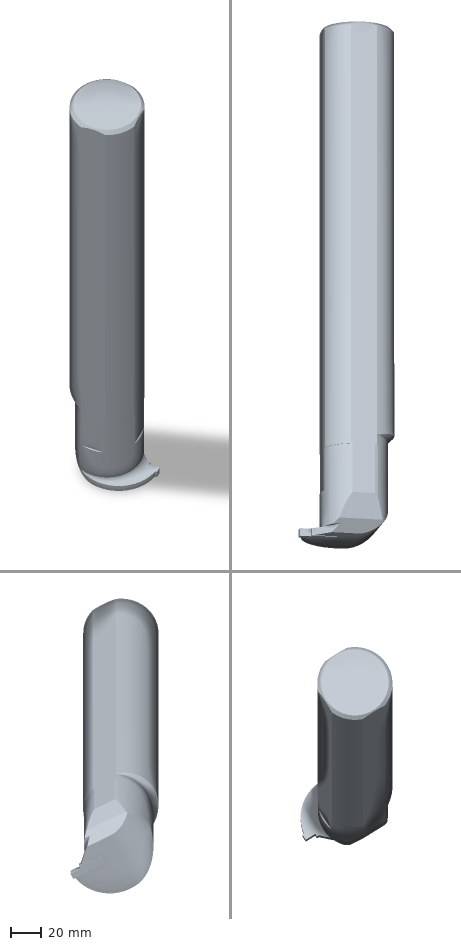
import cadquery as cq

OVERALL_WIDTH = 63.5
TOTAL_LENGTH = 350.0
HEAD_BOTTOM = 0.5
DISC_TOP = 5.2
FLATS_BOTTOM = 30.0
NECK_TOP = 59.0
RELIEF_TOP = 65.8

SHANK_RADIUS = 50.0 / 2
SHANK_CHAMFER = 2.5
FLAT_DISTANCE = 23.5
NECK_RADIUS = 49.5 / 2

HEAD_RADIUS = 29.0
HEAD_OFFSET = 8.5
HEEL_RADIUS = 22.8

BACK_BOTTOM_Y = 11.5
BACK_KNEE_Y = 19.0
BACK_KNEE_HEIGHT = 8.8
BACK_TOP_HEIGHT = 25.5

CORNER_SUM = 30.8

INSERT_LEFT = 13.5
INSERT_STEP_X = 30.8
INSERT_TIP_X = OVERALL_WIDTH - SHANK_RADIUS
INSERT_FRONT_Y = -5.0
INSERT_BACK_Y = 1.5
INSERT_TIP_BACK_Y = -0.7

MARGIN = 70.0


def cylinder(radius, bottom, top, x=0.0):
    return cq.Workplane("XY", origin=(x, 0, bottom)).circle(radius).extrude(top - bottom)


def box(x_range, y_range, z_range):
    lows, highs = zip(x_range, y_range, z_range)
    size = [high - low for low, high in zip(lows, highs)]
    return cq.Workplane("XY").box(*size, centered=False).translate(lows)


def make_shank_and_neck():
    """Chamfered bar and thinner neck; of the three flats only the +Y one runs to the bottom."""
    shank = cylinder(SHANK_RADIUS, NECK_TOP, TOTAL_LENGTH).faces(">Z").chamfer(SHANK_CHAMFER)
    bar = shank.union(cylinder(NECK_RADIUS, HEAD_BOTTOM, NECK_TOP))
    between_flats = box(
        (-MARGIN, FLAT_DISTANCE), (-FLAT_DISTANCE, FLAT_DISTANCE), (FLATS_BOTTOM, TOTAL_LENGTH)
    )
    below_flats = box((-MARGIN, MARGIN), (-MARGIN, FLAT_DISTANCE), (HEAD_BOTTOM, FLATS_BOTTOM))
    return bar.intersect(between_flats.union(below_flats))


def make_head_envelope():
    """Eccentric cylinder that opens upward at 45 degrees to clear the shank."""
    cone_top = RELIEF_TOP + MARGIN
    profile = [
        (0, HEAD_BOTTOM),
        (HEAD_RADIUS, HEAD_BOTTOM),
        (HEAD_RADIUS, RELIEF_TOP),
        (HEAD_RADIUS + MARGIN, cone_top),
        (HEAD_RADIUS + MARGIN, TOTAL_LENGTH),
        (0, TOTAL_LENGTH),
    ]
    envelope = cq.Workplane("XZ").polyline(profile).close().revolve(360, (0, 0), (0, 1))
    return envelope.translate((HEAD_OFFSET, 0, 0))


def make_heel_cutter():
    """Material outside the round lower left edge of the head."""
    left = HEAD_OFFSET - HEAD_RADIUS
    diagonal = HEEL_RADIUS * (1 - 0.5 ** 0.5)
    return (
        cq.Workplane("XZ")
        .moveTo(left, HEAD_BOTTOM + HEEL_RADIUS)
        .threePointArc((left + diagonal, HEAD_BOTTOM + diagonal), (left + HEEL_RADIUS, HEAD_BOTTOM))
        .lineTo(left, HEAD_BOTTOM)
        .close()
        .extrude(MARGIN, both=True)
    )


def make_back_cutter():
    """Two sloping planes that bevel the +Y side of the head."""
    return (
        cq.Workplane("YZ")
        .polyline([
            (BACK_BOTTOM_Y, HEAD_BOTTOM),
            (BACK_KNEE_Y, BACK_KNEE_HEIGHT),
            (FLAT_DISTANCE, BACK_TOP_HEIGHT),
            (MARGIN, BACK_TOP_HEIGHT),
            (MARGIN, HEAD_BOTTOM),
        ])
        .close()
        .extrude(MARGIN, both=True)
    )


def make_corner_cutter():
    """Diagonal chip corner through the disc, ending at the back of the insert tip."""
    return (
        cq.Workplane("XY", origin=(0, 0, HEAD_BOTTOM))
        .polyline([
            (INSERT_STEP_X, CORNER_SUM - INSERT_STEP_X),
            (INSERT_STEP_X, INSERT_TIP_BACK_Y),
            (MARGIN, INSERT_TIP_BACK_Y),
            (MARGIN, MARGIN),
            (CORNER_SUM - MARGIN, MARGIN),
        ])
        .close()
        .extrude(DISC_TOP - HEAD_BOTTOM)
    )


def make_insert():
    """Cutting plate with a thinner tip reaching past the disc."""
    plate = box((INSERT_LEFT, INSERT_STEP_X), (INSERT_FRONT_Y, INSERT_BACK_Y), (0, DISC_TOP))
    tip = box((INSERT_STEP_X, INSERT_TIP_X), (INSERT_FRONT_Y, INSERT_TIP_BACK_Y), (0, DISC_TOP))
    return plate.union(tip)


def make_bar(insert):
    """Boring bar with its disc-shaped nose and a seat for the insert."""
    disc = cylinder(HEAD_RADIUS, HEAD_BOTTOM, DISC_TOP, HEAD_OFFSET)
    bar = make_shank_and_neck().union(disc).intersect(make_head_envelope())
    for cutter in (make_heel_cutter(), make_back_cutter(), make_corner_cutter(), insert):
        bar = bar.cut(cutter)
    return bar


insert = make_insert()
bar = make_bar(insert)

result = cq.Compound.makeCompound([bar.val(), insert.val()])